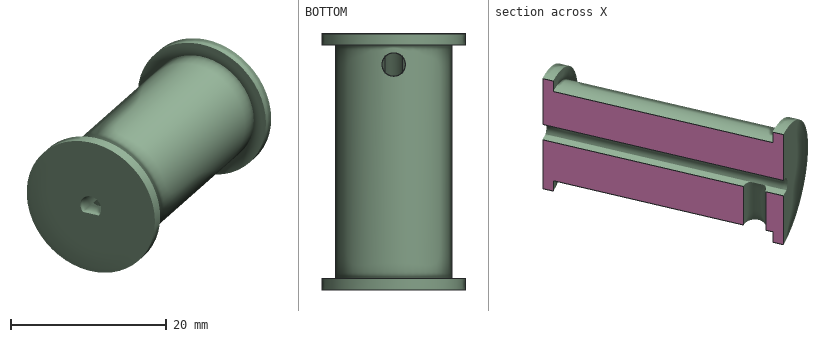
import cadquery as cq

length = 33.0
flange_diameter = 18.5
flange_thickness = 1.5
barrel_diameter = 15.0
bore_diameter = 3.0
flat_offset = 1.0
screw_hole_diameter = 3.0
screw_hole_inset = 4.0

front_y = -length / 2


def cylinder_along_y(diameter, start_y, depth):
    """Solid cylinder on the Y axis, growing toward +Y from start_y."""
    plane = cq.Plane(origin=(0, start_y, 0), xDir=(1, 0, 0), normal=(0, 1, 0))
    return cq.Workplane(plane).circle(diameter / 2).extrude(depth)


def d_bore():
    """Through bore whose lower side is cut off by a flat."""
    keep_box = cq.Workplane("XY", origin=(0, 0, -flat_offset)).box(
        bore_diameter, length, bore_diameter + flat_offset, centered=(True, True, False)
    )
    return cylinder_along_y(bore_diameter, front_y, length).intersect(keep_box)


def screw_hole():
    """Radial hole from the bore flat down through the underside of the barrel."""
    return (
        cq.Workplane("XY", origin=(0, front_y + screw_hole_inset, -flat_offset))
        .circle(screw_hole_diameter / 2)
        .extrude(-barrel_diameter / 2)
    )


spool = cylinder_along_y(barrel_diameter, front_y, length)
for flange_start in (front_y, -front_y - flange_thickness):
    spool = spool.union(cylinder_along_y(flange_diameter, flange_start, flange_thickness))

result = spool.cut(d_bore()).cut(screw_hole())